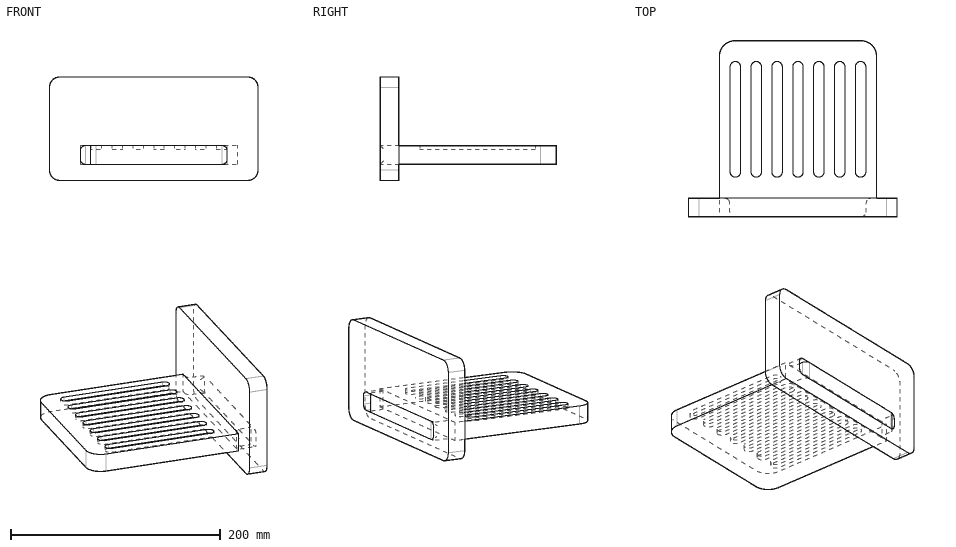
import cadquery as cq

plate_width = 199.0
plate_height = 99.0
plate_thickness = 18.0
plate_corner_radius = 10.0

slot_width = 140.0
slot_bottom = 15.5
slot_corner_radius = 5.0

overall_depth = 168.0
tongue_inset = 10.0
shelf_width = 150.0
tongue_width = shelf_width - 2 * tongue_inset
tongue_radius = 5.0
shelf_thickness = 18.0
shelf_corner_radius = 15.0
shelf_offset = (slot_width - tongue_width) / 2
shelf_length = overall_depth - plate_thickness

groove_count = 7
groove_width = 10.0
groove_pitch = 2 * groove_width
groove_margin = 19.9
groove_length = shelf_length - 2 * groove_margin
groove_depth = 4.0


def make_tongue():
    """Front part of the shelf, with rounded leading corners and flared root fillets."""
    half_width = tongue_width / 2
    return (
        cq.Workplane("XY")
        .lineTo(half_width - tongue_radius, 0)
        .tangentArcPoint((half_width, tongue_radius), relative=False)
        .lineTo(half_width, plate_thickness - tongue_radius)
        .tangentArcPoint((half_width + tongue_radius, plate_thickness), relative=False)
        .lineTo(0, plate_thickness)
        .mirrorY()
        .extrude(shelf_thickness)
        .translate((shelf_offset, 0, slot_bottom))
    )


def make_grooves():
    """Row of round-ended cutters that open at the top of the shelf."""
    row_half_width = (groove_count - 1) * groove_pitch / 2
    centers = [(i * groove_pitch - row_half_width, 0) for i in range(groove_count)]
    return (
        cq.Workplane("XY")
        .pushPoints(centers)
        .slot2D(groove_length, groove_width, 90)
        .extrude(groove_depth)
        .translate((
            shelf_offset,
            plate_thickness + shelf_length / 2,
            slot_bottom + shelf_thickness - groove_depth,
        ))
    )


def make_shelf():
    """Grooved board with rounded back corners, joined to its tongue."""
    board = (
        cq.Workplane("XY")
        .box(shelf_width, shelf_length, shelf_thickness, centered=(True, False, False))
        .edges("|Z and >Y")
        .fillet(shelf_corner_radius)
        .translate((shelf_offset, plate_thickness, slot_bottom))
    )
    return board.union(make_tongue()).cut(make_grooves())


def make_plate():
    """Rounded plate with a centred slot and a recess for the tongue's root fillet and corners."""
    plate = (
        cq.Workplane("XY")
        .box(plate_width, plate_thickness, plate_height, centered=(True, False, False))
        .edges("|Y")
        .fillet(plate_corner_radius)
    )
    slot = (
        cq.Workplane("XY")
        .box(slot_width, plate_thickness, shelf_thickness, centered=(True, False, False))
        .edges("|Y")
        .fillet(slot_corner_radius)
        .translate((0, 0, slot_bottom))
    )
    return plate.cut(slot).cut(make_tongue())


plate = make_plate()
shelf = make_shelf()
result = cq.Compound.makeCompound([*plate.solids().vals(), *shelf.solids().vals()])